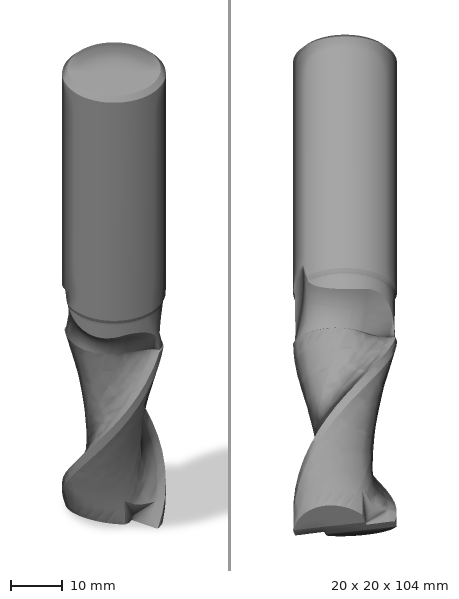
import cadquery as cq
import math

total_length = 104.0
cutting_length = 41.0
tool_radius = 10.0
flute_angles = (0.0, 180.0)
helix_angle = 38.0

top_chamfer = 1.0
neck_radius = 9.65
neck_cone_top = 51.9
neck_cone_bottom = 51.0

cutting_edge = (tool_radius, 0.0)
land_angle = 11.6
rake_inner = (8.28, -0.33)
flute_root = (4.18, -3.3)
flute_root_heading = 51.5
back_end = (1.72, -5.3)
back_middle = (-4.6, -5.95)
web_bulge = 0.15

end_flat_half_width = 1.45
end_relief_angle = 19.4

gash_wall_x = 4.2
gash_root = cq.Vector(gash_wall_x, 0, 0.8)
gash_flute_corner = cq.Vector(gash_wall_x, -2.9, 5.3)
gash_rake_corner = cq.Vector(7.6, 1.65, 3.8)
gash_edge_tip = cq.Vector(8.5, -0.65, 0)
gash_reach = 10.0

runout_tilt = 15.0
runout_radius = 8.0
runout_depth = 6.15
runout_axis_y = -(runout_depth + runout_radius)
runout_rake_lift = 1.0
runout_wall_outer = (-tool_radius, -0.7)
runout_wall_inner = (-9.3, -1.9)
runout_sweep = 90.0
runout_axis_gap = 0.3

clearance = 3.0


def polar(radius, angle):
    """Point at a radius and an angle in degrees."""
    return (radius * math.cos(math.radians(angle)), radius * math.sin(math.radians(angle)))


def rotated(point, angle):
    """Point turned about the origin by an angle in degrees."""
    cosine, sine = polar(1, angle)
    return (point[0] * cosine - point[1] * sine, point[0] * sine + point[1] * cosine)


def web_middle():
    """Middle of the slightly convex web between the tooth back and the flute root."""
    middle_x = (flute_root[0] + back_end[0]) / 2
    middle_y = (flute_root[1] + back_end[1]) / 2
    scale = 1 + web_bulge / math.hypot(middle_x, middle_y)
    return (middle_x * scale, middle_y * scale)


def flute_middle():
    """Middle of the concave flute arc, which leaves the root along flute_root_heading."""
    chord_x = rake_inner[0] - flute_root[0]
    chord_y = rake_inner[1] - flute_root[1]
    chord = math.hypot(chord_x, chord_y)
    chord_heading = math.degrees(math.atan2(chord_y, chord_x))
    turn = math.radians(flute_root_heading - chord_heading)
    offset_x, offset_y = polar(chord / 2 * math.tan(turn / 2), chord_heading + 90)
    return (flute_root[0] + chord_x / 2 + offset_x, flute_root[1] + chord_y / 2 + offset_y)


def draw_flute(sketch, angle=0.0, rake_lift=0.0):
    """Draw from a heel along the tooth back, web, flute and rake face to the next cutting edge.

    The outline is turned by angle, and its rake face is raised by rake_lift.
    """

    def place(point):
        return rotated(point, angle)

    def lift(point):
        return place((point[0], point[1] + rake_lift))

    return (
        sketch.threePointArc(place(back_middle), place(back_end))
        .threePointArc(place(web_middle()), place(flute_root))
        .threePointArc(place(flute_middle()), lift(rake_inner))
        .lineTo(*lift(cutting_edge))
    )


def make_fluted_blank():
    """Helical two-tooth bar, with a cutting edge on +X at its upper end."""
    lead = 2 * math.pi * tool_radius / math.tan(math.radians(helix_angle))
    twist = 360 * cutting_length / lead
    section = cq.Workplane("XY").transformed(rotate=(0, 0, -twist)).moveTo(*cutting_edge)
    for angle in flute_angles:
        land_middle = polar(tool_radius, angle + land_angle / 2)
        land_end = polar(tool_radius, angle + land_angle)
        section = section.threePointArc(land_middle, land_end)
        section = draw_flute(section, angle + 180)
    return section.close().twistExtrude(cutting_length, twist)


def make_end_relief():
    """Roof-shaped cutter below the two sloping end faces."""
    outer_y = tool_radius + clearance
    rise = (outer_y - end_flat_half_width) * math.tan(math.radians(end_relief_angle))
    return (
        cq.Workplane("YZ")
        .moveTo(-outer_y, rise)
        .lineTo(-end_flat_half_width, 0)
        .lineTo(end_flat_half_width, 0)
        .lineTo(outer_y, rise)
        .lineTo(outer_y, -clearance)
        .lineTo(-outer_y, -clearance)
        .close()
        .extrude(tool_radius + clearance, both=True)
    )


def make_gash():
    """Three-sided pyramid with its apex at the gash root: a roof, a wall and a rake face."""
    wall_edge = gash_flute_corner - gash_root
    rake_edge = gash_rake_corner - gash_root
    tip_offset = gash_edge_tip - gash_root
    lower_edge = tip_offset - rake_edge * (tip_offset.x / rake_edge.x)
    corners = [gash_root + edge * gash_reach for edge in (wall_edge, rake_edge, lower_edge)]
    triangles = [corners]
    for index in range(len(corners)):
        triangles.append([gash_root, corners[index - 1], corners[index]])
    faces = [cq.Face.makeFromWires(cq.Wire.makePolygon(points, close=True)) for points in triangles]
    return cq.Workplane(cq.Solid.makeSolid(cq.Shell.makeShell(faces)))


def make_cutting_body():
    body = make_fluted_blank().cut(make_end_relief())
    gash = make_gash()
    for angle in flute_angles:
        body = body.cut(gash.rotate((0, 0, 0), (0, 0, 1), angle))
    return body


def draw_runout_profile():
    """Flute outline on the tilted run-out plane, closed outside the neck."""
    plane = cq.Workplane("XY", origin=(0, 0, cutting_length)).transformed(rotate=(0, runout_tilt, 0))
    side = tool_radius + clearance
    outer_y = runout_axis_y + runout_axis_gap
    profile = (
        plane.moveTo(-side, outer_y)
        .lineTo(-side, runout_wall_outer[1])
        .lineTo(*runout_wall_outer)
        .lineTo(*runout_wall_inner)
    )
    profile = draw_flute(profile, rake_lift=runout_rake_lift)
    return profile.lineTo(side, cutting_edge[1] + runout_rake_lift).lineTo(side, outer_y).close()


def make_runout():
    """Straight flute below the tilted plane and a groove curving outward above it."""
    straight = draw_runout_profile().extrude(-tool_radius)
    curved = draw_runout_profile().revolve(runout_sweep, (0, runout_axis_y), (1, runout_axis_y))
    return straight, curved


def make_shank():
    shank = (
        cq.Workplane("XZ")
        .moveTo(0, cutting_length)
        .lineTo(neck_radius, cutting_length)
        .lineTo(neck_radius, neck_cone_bottom)
        .lineTo(tool_radius, neck_cone_top)
        .lineTo(tool_radius, total_length - top_chamfer)
        .lineTo(tool_radius - top_chamfer, total_length)
        .lineTo(0, total_length)
        .close()
        .revolve(360, (0, 0), (0, 1))
    )
    for cutter in make_runout():
        for angle in flute_angles:
            shank = shank.cut(cutter.rotate((0, 0, 0), (0, 0, 1), angle))
    return shank


shank = make_shank()
cutting_body = make_cutting_body()
result = cq.Compound.makeCompound([shank.val(), cutting_body.val()])